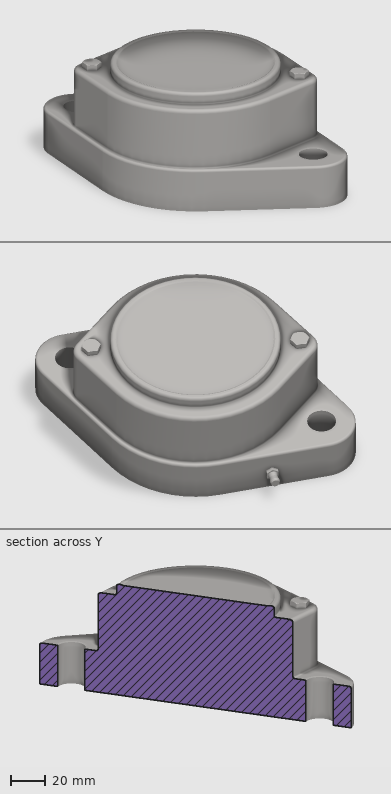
import cadquery as cq
import math

flange_length = 197
flange_height = 26.2
flange_width = 124.9
flange_end_radius = 20.0
flange_round = 1.5
bolt_hole_x = flange_length / 2 - flange_end_radius
bolt_hole_diameter = 17.0
bolt_hole_mouth_diameter = 19.9
bolt_hole_mouth_depth = 0.2

housing_top = 63
housing_diameter = 119.4
housing_corner_radius = 9.8
housing_corner = (57.5, 22.9)
housing_round = 2.4
housing_base_fillet = 1.0

cover_top = 70.0
cover_diameter = 100.0
cover_round = 2
cover_base_fillet = 0.8
recess_mouth_diameter = 93.8
recess_floor_diameter = 92.0
recess_depth = 0.4

screw_position = (57.0, 22.9)
screw_across_flats = 10.0
screw_head_height = 3.5
screw_edge_drop = 0.4

nipple_height = 11.6
nipple_along_side = 31.1
nipple_hex_across_corners = 8.0
nipple_hex_length = 2.4
nipple_root_diameter = 5.5
nipple_neck_diameter = 5.0
nipple_head_diameter = 6
nipple_tip_diameter = 5.0
nipple_neck_end = 5.1
nipple_head_end = 7.9
nipple_tip_end = 9.5
nipple_embedded = 2

hexagon_corner_angle = 30
match_tolerance = 0.02


def rounded_diamond(big_radius, end_radius, end_x, end_y):
    """Outline wrapping a central circle and two equal circles at +/-(end_x, end_y)."""
    distance = math.hypot(end_x, end_y)
    axis_angle = math.atan2(end_y, end_x)
    spread = math.acos((big_radius - end_radius) / distance)

    def on_circle(side, radius, offset, angle):
        turned = axis_angle + angle
        x = side * (offset * math.cos(axis_angle) + radius * math.cos(turned))
        y = side * (offset * math.sin(axis_angle) + radius * math.sin(turned))
        return (x, y)

    return (
        cq.Workplane("XY")
        .moveTo(*on_circle(1, end_radius, distance, -spread))
        .threePointArc(
            on_circle(1, end_radius, distance, 0),
            on_circle(1, end_radius, distance, spread),
        )
        .lineTo(*on_circle(1, big_radius, 0, spread))
        .threePointArc(
            on_circle(1, big_radius, 0, math.pi / 2),
            on_circle(-1, big_radius, 0, -spread),
        )
        .lineTo(*on_circle(-1, end_radius, distance, -spread))
        .threePointArc(
            on_circle(-1, end_radius, distance, 0),
            on_circle(-1, end_radius, distance, spread),
        )
        .lineTo(*on_circle(-1, big_radius, 0, spread))
        .threePointArc(
            on_circle(-1, big_radius, 0, math.pi / 2),
            on_circle(1, big_radius, 0, -spread),
        )
        .close()
    )


def make_flange():
    outline = rounded_diamond(flange_width / 2, flange_end_radius, bolt_hole_x, 0)
    return outline.extrude(flange_height).faces(">Z").edges().fillet(flange_round)


def make_housing():
    outline = rounded_diamond(housing_diameter / 2, housing_corner_radius, *housing_corner)
    return outline.extrude(housing_top).faces(">Z").edges().fillet(housing_round)


def join_with_base_fillet(flange, housing):
    """Housing joined to the flange with a small concave fillet around its foot."""
    body = flange.union(housing)
    foot_edges = housing.intersect(flange).faces(">Z").edges()
    foot_centres = [edge.Center() for edge in foot_edges.vals()]
    matching = [
        edge
        for edge in body.edges().vals()
        if any((edge.Center() - centre).Length < match_tolerance for centre in foot_centres)
    ]
    return body.newObject(matching).fillet(housing_base_fillet)


def cut_bolt_holes(body):
    """Through holes at both ends of the flange, each with a shallow bevelled mouth."""
    for x in (-bolt_hole_x, bolt_hole_x):
        hole = cq.Workplane("XY").center(x, 0).circle(bolt_hole_diameter / 2).extrude(flange_height)
        mouth = (
            cq.Workplane("XY", origin=(x, 0, flange_height))
            .circle(bolt_hole_mouth_diameter / 2)
            .workplane(offset=-bolt_hole_mouth_depth)
            .circle(bolt_hole_diameter / 2)
            .loft()
        )
        body = body.cut(hole).cut(mouth)
    return body


def make_cover():
    """Cover turned as one profile, with its rounded rim and shallow dished top."""
    radius = cover_diameter / 2
    inset = 1 - math.sqrt(0.5)
    floor = cover_top - recess_depth
    return (
        cq.Workplane("XZ")
        .moveTo(0, flange_height)
        .lineTo(radius + cover_base_fillet, flange_height)
        .lineTo(radius + cover_base_fillet, housing_top)
        .threePointArc(
            (
                radius + cover_base_fillet * inset,
                housing_top + cover_base_fillet * inset,
            ),
            (radius, housing_top + cover_base_fillet),
        )
        .lineTo(radius, cover_top - cover_round)
        .threePointArc(
            (
                radius - cover_round * inset,
                cover_top - cover_round * inset,
            ),
            (radius - cover_round, cover_top),
        )
        .lineTo(recess_mouth_diameter / 2, cover_top)
        .lineTo(recess_floor_diameter / 2, floor)
        .lineTo(0, floor)
        .close()
        .revolve(360, (0, 0, 0), (0, 1, 0))
    )


def make_screw(side):
    """Hexagon head whose upper corners are trimmed by a shallow cone."""
    across_corners = screw_across_flats / math.cos(math.radians(hexagon_corner_angle))
    x = side * screw_position[0]
    y = side * screw_position[1]
    head = (
        cq.Workplane("XY", origin=(x, y, housing_top))
        .transformed(rotate=(0, 0, hexagon_corner_angle))
        .polygon(6, across_corners)
        .extrude(screw_head_height)
    )
    overlap = across_corners - screw_across_flats
    crown = (
        cq.Workplane("XY", origin=(x, y, housing_top))
        .circle(across_corners / 2)
        .extrude(screw_head_height)
        .faces(">Z")
        .chamfer(screw_edge_drop, overlap / 2)
    )
    return head.intersect(crown)


def make_nipple():
    """Grease nipple along the outward normal of the flange's back-left side."""
    flange_radius = flange_width / 2
    normal_x = (flange_end_radius - flange_radius) / bolt_hole_x
    normal_y = math.sqrt(1 - normal_x**2)
    base_plane = cq.Plane(
        origin=(
            flange_radius * normal_x - nipple_along_side * normal_y,
            flange_radius * normal_y + nipple_along_side * normal_x,
            nipple_height,
        ),
        xDir=(normal_y, -normal_x, 0),
        normal=(normal_x, normal_y, 0),
    )
    hexagon = (
        cq.Workplane(base_plane)
        .workplane(offset=-nipple_embedded)
        .transformed(rotate=(0, 0, hexagon_corner_angle))
        .polygon(6, nipple_hex_across_corners)
        .extrude(nipple_embedded + nipple_hex_length)
    )
    profile_plane = cq.Plane(origin=base_plane.origin, xDir=base_plane.xDir, normal=(0, 0, 1))
    fitting = (
        cq.Workplane(profile_plane)
        .lineTo(nipple_root_diameter / 2, 0)
        .lineTo(nipple_root_diameter / 2, nipple_hex_length)
        .lineTo(nipple_neck_diameter / 2, nipple_neck_end)
        .lineTo(nipple_head_diameter / 2, nipple_head_end)
        .lineTo(nipple_tip_diameter / 2, nipple_tip_end)
        .lineTo(0, nipple_tip_end)
        .close()
        .revolve(360, (0, 0, 0), (0, 1, 0))
    )
    return hexagon.union(fitting)


body = join_with_base_fillet(make_flange(), make_housing())
result = cut_bolt_holes(body).union(make_cover()).union(make_nipple())
for side in (-1, 1):
    result = result.union(make_screw(side))